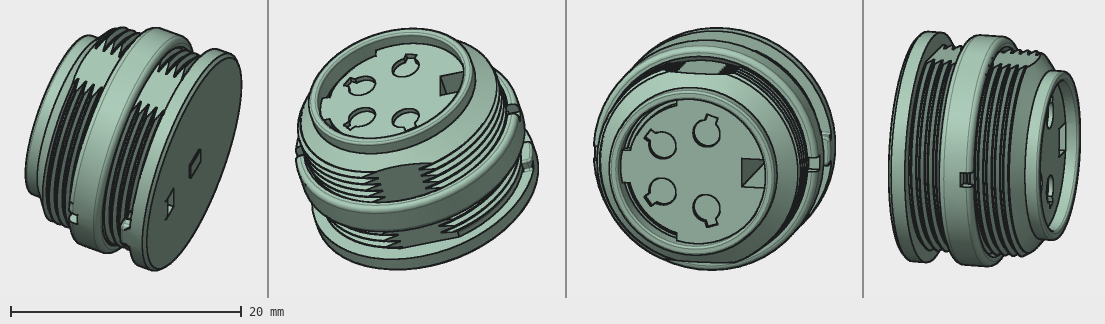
import cadquery as cq


collar_radius = 14.7 / 2
collar_length = 1.2
edge_round = 0.2
cone_slope = 1.25
thread_radius = 9.0
root_radius = 8.6
thread_pitch = 0.75
thread_crest_width = thread_pitch / 8
thread_root_width = thread_pitch / 8
thread_start = 1.41
thread_runs = ((1, 12), (18, 26))
groove_clearance = 0.04
flat_height = 8.4
bore_radius = 13.1 / 2

outer_radius = 20 / 2
flange_front = 11.27
flange_rear = 12.8
flange_chamfer = 0.3
mark_height = 0.15
mark_size_y = 2.0
mark_size_z = 1.65

nut_front = 5.3
nut_rear = 8.3
nut_round = 0.5
nut_bore_radius = 8.7
nut_countersink_radius = 18.3 / 2
nut_slot_width = 1.25
nut_slot_depth = 1.0

face_depth = 1.15
contact_circle_radius = 3.5
contact_angles = (36, 108, -108, -36)
contact_radius = 1.2
contact_depth = 0.45
key_width = 1.0
key_reach = 1.65
pocket_inner_radius = 5.9
pocket_outer_radius = 6.3
pocket_depth = 1.0
ledge_depth = 0.7
pocket_min_y = 1.58
pocket_min_z = 1.45
window_width = 2.52
window_inner_y = 4.2
window_outer_y = 6.45
tongue_inner_y = 5.4
tongue_corner_radius = 0.4
tongue_bend_radius = 1.0

lug_front = 10.3
lug_width = 2.66
lug_inner_y = 9.0
lug_side_round = 0.45
lug_front_round = 0.22
lug_foot_round = 0.2
stop_front = 10.6
stop_top = 2.0
stop_top_y = 8.72
stop_bottom_y = 8.95

overlap = 0.1


def disc(x_start, x_end, radius):
    """Cylinder on the X axis between two stations."""
    return cq.Workplane("YZ").workplane(offset=x_start).circle(radius).extrude(x_end - x_start)


def ring(x_start, x_end, inner_radius, ring_outer_radius):
    return disc(x_start, x_end, ring_outer_radius).cut(disc(x_start, x_end, inner_radius))


def block(x_range, y_range, z_range):
    """Axis-aligned box given by its limits."""
    sizes = [high - low for low, high in (x_range, y_range, z_range)]
    corner = (x_range[0], y_range[0], z_range[0])
    return cq.Workplane("XY").box(*sizes, centered=False).translate(corner)


def make_barrel():
    """Barrel with a conical lead-in, two flats and a thread in front of and behind the nut seat."""
    cone_end = collar_length + (thread_radius - collar_radius) / cone_slope
    barrel_end = flange_front + overlap
    barrel = (
        cq.Workplane("XZ")
        .moveTo(collar_length, 0)
        .lineTo(collar_length, collar_radius)
        .lineTo(cone_end, thread_radius)
        .lineTo(barrel_end, thread_radius)
        .lineTo(barrel_end, 0)
        .close()
        .revolve(360, (0, 0, 0), (1, 0, 0))
    )
    flats = block(
        (0, flange_rear),
        (-outer_radius, outer_radius),
        (-flat_height, flat_height),
    )
    barrel = barrel.intersect(flats)
    for first_half_turn, last_half_turn in thread_runs:
        for half_turn in range(first_half_turn, last_half_turn + 1):
            barrel = barrel.cut(make_thread_groove(half_turn))
    return barrel


def make_thread_groove(half_turn):
    """One half turn of right-hand V-groove, running from one flat to the other."""
    half_pitch = thread_pitch / 2
    path = cq.Wire.makeHelix(thread_pitch, half_pitch, root_radius)
    flank_slope = (thread_pitch - thread_crest_width - thread_root_width) / 2 / (thread_radius - root_radius)
    tool_radius = thread_radius + groove_clearance
    root_half = thread_root_width / 2
    mouth_half = root_half + flank_slope * (tool_radius - root_radius)
    groove = (
        cq.Workplane("XZ")
        .moveTo(root_radius, -root_half)
        .lineTo(tool_radius, -mouth_half)
        .lineTo(tool_radius, mouth_half)
        .lineTo(root_radius, root_half)
        .close()
        .sweep(cq.Workplane(path), isFrenet=True)
    )
    groove = groove.rotate((0, 0, 0), (0, 1, 0), 90).rotate((0, 0, 0), (1, 0, 0), 180 * half_turn)
    return groove.translate((thread_start + half_turn * half_pitch, 0, 0))


def make_shell():
    collar = disc(0, collar_length + overlap, collar_radius).faces("<X").edges().fillet(edge_round)
    mark = block(
        (flange_rear - overlap, flange_rear + mark_height),
        (-mark_size_y / 2, mark_size_y / 2),
        (-mark_size_z / 2, mark_size_z / 2),
    )
    shell = make_barrel().union(collar).union(make_thread_stop())
    return shell.union(make_flange()).union(mark)


def make_nut():
    """Ring nut with rounded rims, countersunk bore and two slots in its front face."""
    nut = ring(nut_front, nut_rear, nut_bore_radius, outer_radius)
    bore_rims = cq.selectors.RadiusNthSelector(0)
    outer_rims = cq.selectors.RadiusNthSelector(-1)
    nut = nut.edges(bore_rims).chamfer(nut_countersink_radius - nut_bore_radius)
    nut = nut.edges(outer_rims).fillet(nut_round)
    slots = block(
        (nut_front, nut_front + nut_slot_depth),
        (-outer_radius, outer_radius),
        (-nut_slot_width / 2, nut_slot_width / 2),
    )
    return nut.cut(slots)


def make_mouth():
    """Bore down to the insulator face, with a rounded entry."""
    entry = (
        cq.Workplane("XY")
        .lineTo(0, bore_radius + edge_round)
        .radiusArc((edge_round, bore_radius), -edge_round)
        .lineTo(edge_round, 0)
        .close()
        .revolve(360, (0, 0, 0), (1, 0, 0))
    )
    return disc(0, face_depth, bore_radius).union(entry)


def make_contact_recess(angle):
    """Round recess with a key slot pointing away from the connector axis."""
    recess = (
        cq.Workplane("YZ")
        .workplane(offset=face_depth)
        .center(contact_circle_radius, 0)
        .circle(contact_radius)
        .extrude(contact_depth)
    )
    key = block(
        (face_depth, face_depth + contact_depth),
        (contact_circle_radius, contact_circle_radius + key_reach),
        (-key_width / 2, key_width / 2),
    )
    return recess.union(key).rotate((0, 0, 0), (1, 0, 0), angle)


def make_rim_pocket(side):
    """Stepped arc pocket at the insulator rim; side is +1 above and -1 below."""
    floor = face_depth + pocket_depth
    deep = ring(face_depth, floor, pocket_inner_radius, pocket_outer_radius)
    ledge = ring(face_depth, face_depth + ledge_depth, pocket_inner_radius, bore_radius)
    z_limits = sorted((side * pocket_min_z, side * bore_radius))
    quadrant = block((face_depth, floor), (pocket_min_y, bore_radius), z_limits)
    return deep.union(ledge).intersect(quadrant)


def make_window():
    return block(
        (face_depth, flange_rear),
        (-window_outer_y, -window_inner_y),
        (-window_width / 2, window_width / 2),
    )


def make_tongue():
    """Rounded tongue standing in the window at the flange."""
    tongue = block(
        (flange_front, flange_rear),
        (-window_outer_y - overlap, -tongue_inner_y),
        (-window_width / 2, window_width / 2),
    )
    tongue = tongue.edges("|X and >Y").fillet(tongue_corner_radius)
    bend = (
        cq.Workplane("XY")
        .moveTo(flange_front, -tongue_inner_y - tongue_bend_radius)
        .radiusArc((flange_front + tongue_bend_radius, -tongue_inner_y), tongue_bend_radius)
        .lineTo(flange_rear, -tongue_inner_y)
        .lineTo(flange_rear, -window_outer_y - overlap)
        .lineTo(flange_front, -window_outer_y - overlap)
        .close()
        .extrude(window_width / 2, both=True)
    )
    return tongue.intersect(bend)


def make_lug():
    """Lug following the flange edge, rounded at its sides and front."""
    lug = block(
        (lug_front, flange_front + overlap),
        (-outer_radius, -lug_inner_y),
        (-lug_width / 2, lug_width / 2),
    )
    lug = lug.intersect(disc(lug_front, flange_front + overlap, outer_radius))
    outer_corners = cq.selectors.BoxSelector(
        (lug_front, -outer_radius, -lug_width),
        (flange_rear, -lug_inner_y - lug_side_round, lug_width),
    )
    lug = lug.edges("|X").edges(outer_corners).fillet(lug_side_round)
    return lug.faces("<X").edges("not >Y").fillet(lug_front_round)


def make_flange():
    """Rear flange with its lug, blended into the flange face along the lug sides."""
    flange = disc(flange_front, flange_rear, outer_radius).faces(">X").edges().chamfer(flange_chamfer)
    flange = flange.union(make_lug())
    for side in (1, -1):
        lug_side = side * lug_width / 2
        side_foot = cq.selectors.NearestToPointSelector((flange_front, -lug_inner_y - overlap, lug_side))
        flange = flange.edges(side_foot).fillet(lug_foot_round)
    return flange


def make_thread_stop():
    """Fill that ends the rear thread groove below the lug, with a sloped end above it."""
    end = flange_front + overlap
    fill = ring(stop_front, end, flat_height, thread_radius)
    fill = fill.intersect(block((stop_front, end), (-thread_radius, 0), (-flat_height, lug_width / 2)))
    slope = (
        cq.Workplane("YZ")
        .workplane(offset=stop_front)
        .moveTo(-flat_height, 0)
        .lineTo(-flat_height, stop_top)
        .lineTo(-stop_top_y, stop_top)
        .lineTo(-stop_bottom_y, lug_width / 2)
        .lineTo(-stop_bottom_y, 0)
        .close()
        .extrude(end - stop_front)
    )
    return fill.union(slope)


result = make_shell().union(make_nut()).cut(make_mouth())
for contact_angle in contact_angles:
    result = result.cut(make_contact_recess(contact_angle))
for pocket_side in (1, -1):
    result = result.cut(make_rim_pocket(pocket_side))
result = result.cut(make_window()).union(make_tongue())